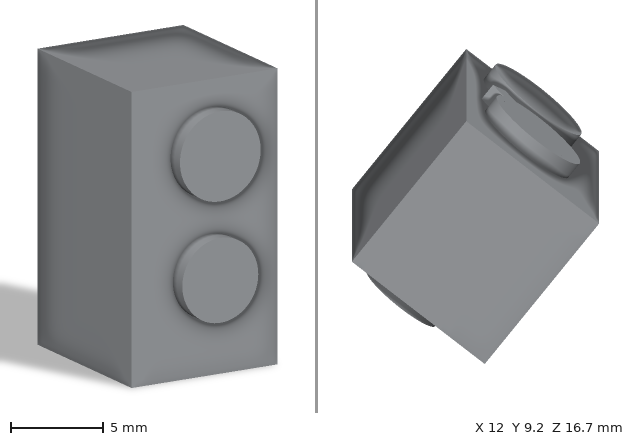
import cadquery as cq

HOUSING_X = 10.0
HOUSING_Y = 9.2
HOUSING_Z = 16.7

PROUD = 1.0
SHAFT_LENGTH = HOUSING_X + 2 * PROUD
SHAFT_Y = 0.4
UPPER_Z = 4.25
SHAFT_SPACING = 7.0
LOWER_Z = UPPER_Z - SHAFT_SPACING

UPPER_SHAFT_DIAMETER = 5.1
UPPER_COLLAR_DIAMETER = 6.0
LOWER_SHAFT_DIAMETER = 4.8
LOWER_COLLAR_DIAMETER = 5.8

POINTER_LENGTH = 3.84
POINTER_WIDTH = 1.2
POINTER_ANGLE = 45.0

OUTER_FACE_X = -HOUSING_X / 2 - PROUD


def cylinder_along_x(diameter, length, z):
    """Cylinder on a shaft axis, from the outer -X face inwards."""
    return (
        cq.Workplane("YZ", origin=(OUTER_FACE_X, SHAFT_Y, z))
        .circle(diameter / 2)
        .extrude(length)
    )


def make_shaft(diameter, z):
    """Shaft through the housing, proud on both sides."""
    return cylinder_along_x(diameter, SHAFT_LENGTH, z)


def make_collar(diameter, shaft, z):
    """Flat ring around the shaft, lying on the -X face of the housing."""
    return cylinder_along_x(diameter, PROUD, z).cut(shaft)


def make_pointer_bar():
    """Whole pointer bar, as thick as the collar it crosses."""
    return (
        cq.Workplane("YZ", origin=(OUTER_FACE_X, SHAFT_Y, LOWER_Z))
        .transformed(rotate=(0, 0, POINTER_ANGLE))
        .center(POINTER_LENGTH / 2, 0)
        .rect(POINTER_LENGTH, POINTER_WIDTH)
        .extrude(PROUD)
    )


def make_housing(shafts):
    """Rectangular block bored through for the shafts."""
    housing = cq.Workplane("XY").box(HOUSING_X, HOUSING_Y, HOUSING_Z)
    for shaft in shafts:
        housing = housing.cut(shaft)
    return housing


upper_shaft = make_shaft(UPPER_SHAFT_DIAMETER, UPPER_Z)
full_lower_shaft = make_shaft(LOWER_SHAFT_DIAMETER, LOWER_Z)
housing = make_housing([upper_shaft, full_lower_shaft])

upper_collar = make_collar(UPPER_COLLAR_DIAMETER, upper_shaft, UPPER_Z)
full_lower_collar = make_collar(LOWER_COLLAR_DIAMETER, full_lower_shaft, LOWER_Z)

pointer_bar = make_pointer_bar()
pointer_root = pointer_bar.intersect(full_lower_shaft)
pointer_middle = pointer_bar.intersect(full_lower_collar)
pointer_tip = pointer_bar.cut(full_lower_shaft).cut(full_lower_collar)

lower_shaft = full_lower_shaft.cut(pointer_bar)
lower_collar = full_lower_collar.cut(pointer_bar)

result = cq.Compound.makeCompound([
    housing.val(),
    *upper_shaft.vals(),
    *lower_shaft.vals(),
    *upper_collar.vals(),
    *lower_collar.vals(),
    *pointer_root.vals(),
    *pointer_middle.vals(),
    *pointer_tip.vals(),
])